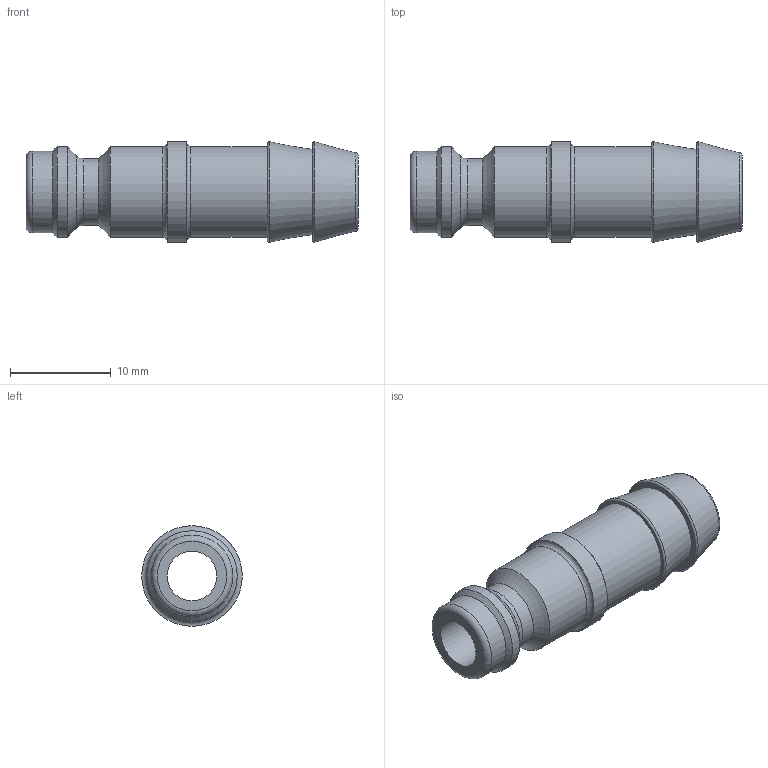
import cadquery as cq
import math

length = 33.0
bore_diameter = 4.95

nose_radius = 8.1 / 2
nose_fillet = 0.6
nose_end = 2.65

body_radius = 9.0 / 2
ridge_start = nose_end + body_radius - nose_radius
ridge_end = 4.1

neck_radius = 6.65 / 2
neck_fillet = 1.0
neck_slope = math.radians(45)
neck_end = 7.2
shoulder_start = 8.35

shoulder_sag = 0.1
first_barb_sag = 0.06
second_barb_sag = 0.05

collar_radius = 10.0 / 2
collar_start = 14.05
collar_end = 15.95
collar_fillet = collar_radius - body_radius
collar_back_run = 0.4

barb_radius = collar_radius
barb_starts = (24.0, 28.5)
barb_edge_fillet = 0.2
first_barb_end_radius = 4.24
tip_radius = 3.9
tip_fillet = 0.25


def add_hollow_taper(outline, start, end, sag):
    """Add an arc from `start` to `end` whose middle lies `sag` closer to the axis than its chord."""
    middle = ((start[0] + end[0]) / 2, (start[1] + end[1]) / 2 - sag)
    return outline.threePointArc(middle, end)


def add_plug(outline):
    """Nose, locking ridge and neck, up to the main body."""
    fillet_run = neck_fillet * math.sin(neck_slope)
    fillet_rise = neck_fillet * (1 - math.cos(neck_slope))
    cone_end_radius = neck_radius + fillet_rise
    cone_end = ridge_end + (body_radius - cone_end_radius) / math.tan(neck_slope)
    neck_start = cone_end + fillet_run
    neck_corner = (neck_end, neck_radius)
    outline = (
        outline.lineTo(0, nose_radius - nose_fillet)
        .radiusArc((nose_fillet, nose_radius), nose_fillet)
        .lineTo(nose_end, nose_radius)
        .lineTo(ridge_start, body_radius)
        .lineTo(ridge_end, body_radius)
        .lineTo(cone_end, cone_end_radius)
        .radiusArc((neck_start, neck_radius), -neck_fillet)
        .lineTo(*neck_corner)
    )
    return add_hollow_taper(outline, neck_corner, (shoulder_start, body_radius), shoulder_sag)


def add_collar(outline):
    """Stop collar with a concave fillet on each side."""
    return (
        outline.lineTo(collar_start - collar_fillet, body_radius)
        .radiusArc((collar_start, collar_radius), -collar_fillet)
        .lineTo(collar_end, collar_radius)
        .radiusArc((collar_end + collar_back_run, body_radius), -collar_fillet)
    )


def add_barb(outline, start, end, sag):
    """Sharp step up to the barb edge, then a hollow taper to `end`."""
    crest = (start + barb_edge_fillet, barb_radius)
    outline = (
        outline.lineTo(start, barb_radius - barb_edge_fillet)
        .radiusArc(crest, barb_edge_fillet)
    )
    return add_hollow_taper(outline, crest, end, sag)


first_barb, second_barb = barb_starts

profile = cq.Workplane("XY").moveTo(0, bore_diameter / 2)
profile = add_plug(profile)
profile = add_collar(profile).lineTo(first_barb, body_radius)
profile = add_barb(profile, first_barb, (second_barb, first_barb_end_radius), first_barb_sag)
profile = add_barb(profile, second_barb, (length - tip_fillet, tip_radius), second_barb_sag)
profile = (
    profile.radiusArc((length, tip_radius - tip_fillet), tip_fillet)
    .lineTo(length, bore_diameter / 2)
    .close()
)

full_turn = 360
result = profile.revolve(full_turn, (0, 0, 0), (1, 0, 0))